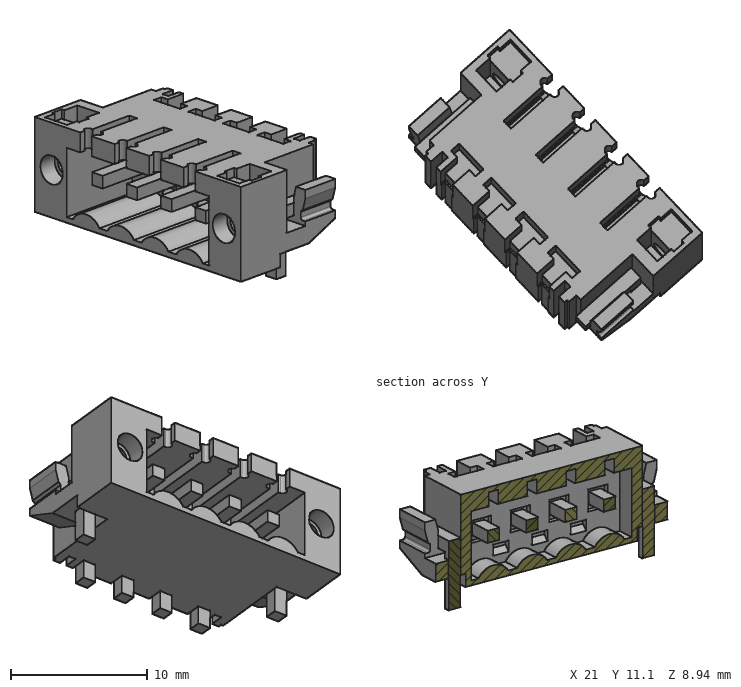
import cadquery as cq
import math


pitch = 3.5
contact_count = 4
contact_xs = [(i - (contact_count - 1) / 2) * pitch for i in range(contact_count)]
gap_xs = [(a + b) / 2 for a, b in zip(contact_xs, contact_xs[1:])]
anchor_x = (contact_count + 1) / 2 * pitch
sides = (-1, 1)

half_length = 10.48
depth = 11.05
height = 7.45
ear_depth = 4.88

pin_width = 1.07
pin_height = 1.0
pin_bottom = 3.02
pin_top = pin_bottom + pin_height
tail_length = 1.49
contact_front = 1.2
contact_back = 10.7
anchor_front = 5.0
anchor_back = 10.52

body_half_length = anchor_x - pin_width / 2

rear_shoulder_y = 10.04
rear_step_y = 10.77
rear_step_outer_x = 7.75
rear_step_inner_x = 7.56

cavity_half_width = 7.23
cavity_floor = 0.45
cavity_roof = 5.89
cavity_depth = 7.0
rib_width = 2.72
rib_height = 0.73
rib_radius = ((rib_width / 2) ** 2 + rib_height**2) / (2 * rib_height)

recess_size = 1.75
recess_depth = 0.42
recess_z = (pin_bottom + pin_top) / 2

window_width = 1.4
window_bottom = 1.17
window_slope_top = 1.6
window_top = 2.05
window_depth = 0.42

roof_slot_width = 0.8
roof_slot_end = 5.0
roof_slot_bridge_z = 7.02
mouth_width = 1.2
key_width = 1.74
key_height = 0.65
key_y = 0.8

t_bar_width = 2.65
t_bar_front = 8.59
t_bar_back = 9.39
t_stem_width = 1.32
t_stem_back = 10.55
t_floor = cavity_roof

end_slot_outer_x = 6.95
end_slot_inner_x = 6.37
end_slot_front = 9.9

bore_z = 3.75
bore_diameter = 2.26
screw_diameter = 1.6
nut_front = 2.51
nut_back = 3.9
nut_width = 2.2
nut_floor = bore_z - bore_diameter / 2
entry_floor = 6.72
entry_wide_width = 2.75
entry_wide_front = 1.5
entry_narrow_width = 2.26
entry_narrow_front = 0.46

undercut_front = 4.17
arm_bottom = 1.05
arm_top = 2.51
arm_slope_start = 7.2
arm_tip_bottom = 2.26
hook_front = 6.85
hook_top = 5.35
hook_top_inner_x = 9.51
hook_inner_x = anchor_x + pin_width / 2
hook_inner_slope_z = 4.46
hook_outer_slope_z = 4.7
hook_lip_x = 10.2
hook_lip_z = 3.69
groove_x = 10.0
groove_top = 3.5
groove_bottom = 2.87
groove_radius = 0.2


def block(x0, x1, y0, y1, z0, z1):
    """Box between two opposite corners, given in either order."""
    corner = (min(x0, x1), min(y0, y1), min(z0, z1))
    return cq.Workplane("XY").box(abs(x1 - x0), abs(y1 - y0), abs(z1 - z0), centered=False).translate(corner)


def centred_block(x, width, y0, y1, z0, z1):
    """Box centred on x."""
    return block(x - width / 2, x + width / 2, y0, y1, z0, z1)


def cylinder_along_y(x, z, diameter, y0, y1):
    """Round bar from y0 to y1."""
    return cq.Workplane("XZ", origin=(x, y0, z)).circle(diameter / 2).extrude(y0 - y1)


def bent_pin(x, front, back, leg_front):
    """Horizontal bar from front to back with a leg down through the board."""
    bar = centred_block(x, pin_width, front, back, pin_bottom, pin_top)
    leg = centred_block(x, pin_width, leg_front, leg_front + pin_height, -tail_length, pin_top)
    return bar.union(leg)


def contact(x):
    """Contact with its leg at the back end."""
    return bent_pin(x, contact_front, contact_back, contact_back - pin_height)


def anchor(x):
    """Solder anchor with its leg at the front end."""
    return bent_pin(x, anchor_front, anchor_back, anchor_front)


def housing_block():
    """Full-height body with the two ears and the stepped rear corners."""
    right_half = [
        (half_length, 0),
        (half_length, ear_depth),
        (body_half_length, ear_depth),
        (body_half_length, rear_shoulder_y),
        (rear_step_outer_x, rear_shoulder_y),
        (rear_step_outer_x, rear_step_y),
        (rear_step_inner_x, rear_step_y),
        (rear_step_inner_x, depth),
    ]
    left_half = [(-x, y) for x, y in reversed(right_half)]
    return cq.Workplane("XY").polyline(right_half + left_half).close().extrude(height)


def cavity():
    """Mating cavity whose floor carries one rounded rib below each contact."""
    space = block(-cavity_half_width, cavity_half_width, 0, cavity_depth, cavity_floor, cavity_roof)
    rib_axis_z = cavity_floor + rib_height - rib_radius
    for x in contact_xs:
        space = space.cut(cylinder_along_y(x, rib_axis_z, 2 * rib_radius, 0, cavity_depth))
    return space


def contact_recess(x):
    """Square recess around a contact in the back wall of the cavity."""
    half = recess_size / 2
    return centred_block(
        x, recess_size, cavity_depth, cavity_depth + recess_depth, recess_z - half, recess_z + half
    )


def window(x):
    """Recess in the back wall of the cavity, with a floor that rises to the back."""
    profile = [
        (cavity_depth, window_bottom),
        (cavity_depth + window_depth, window_slope_top),
        (cavity_depth + window_depth, window_top),
        (cavity_depth, window_top),
    ]
    left = x - window_width / 2
    return cq.Workplane("YZ", origin=(left, 0, 0)).polyline(profile).close().extrude(window_width)


def roof_slot(x):
    """Slot through the cavity roof: a mouth, a round-ended key and a long tail that runs under a bridge."""
    mouth = centred_block(x, mouth_width, 0, key_y, cavity_roof, height)
    key = (
        cq.Workplane("XY", origin=(x, key_y, cavity_roof))
        .slot2D(key_width, key_height)
        .extrude(height - cavity_roof)
    )
    tail = centred_block(x, roof_slot_width, key_y, roof_slot_end, cavity_roof, height)
    under_bridge = centred_block(
        x, roof_slot_width, roof_slot_end, cavity_depth, cavity_roof, roof_slot_bridge_z
    )
    return mouth.union(key).union(tail).union(under_bridge)


def t_slot(x):
    """T-shaped pocket in the top, opening into a stepped channel down the back above the contact."""
    bar = centred_block(x, t_bar_width, t_bar_front, t_bar_back, t_floor, height)
    stem = centred_block(x, t_stem_width, t_bar_back, t_stem_back, t_floor, height)
    wide_channel = centred_block(x, t_stem_width, t_stem_back, depth, pin_top, height)
    narrow_channel = centred_block(x, pin_width, t_stem_back, depth, 0, pin_top)
    return bar.union(stem).union(wide_channel).union(narrow_channel)


def end_slot(side):
    """Narrow full-height slot near one end of the back."""
    return block(side * end_slot_inner_x, side * end_slot_outer_x, end_slot_front, depth, 0, height)


def ear_fastening(x):
    """Screw bore from the front, meeting a nut pocket that is sunk from the top behind a shallow entry."""
    bore = cylinder_along_y(x, bore_z, bore_diameter, 0, entry_wide_front)
    screw_hole = cylinder_along_y(x, bore_z, screw_diameter, entry_wide_front, nut_front)
    nut_pocket = centred_block(x, nut_width, nut_front, nut_back, nut_floor, height)
    wide_entry = centred_block(x, entry_wide_width, entry_wide_front, nut_front, entry_floor, height)
    narrow_entry = centred_block(
        x, entry_narrow_width, entry_narrow_front, entry_wide_front, entry_floor, height
    )
    return bore.union(screw_hole).union(nut_pocket).union(wide_entry).union(narrow_entry)


def latch_undercut():
    """Clearance under the latch arm at the +X end, from the back of the ear to the body shoulder."""
    profile = [
        (undercut_front, 0),
        (undercut_front, arm_bottom),
        (arm_slope_start, arm_bottom),
        (rear_shoulder_y, arm_tip_bottom),
        (rear_shoulder_y, 0),
    ]
    return (
        cq.Workplane("YZ", origin=(rear_step_outer_x, 0, 0))
        .polyline(profile)
        .close()
        .extrude(half_length - rear_step_outer_x)
    )


def latch():
    """Latch at the +X end: an arm behind the ear with a grooved hook standing on it."""
    arm_profile = [
        (ear_depth, arm_bottom),
        (arm_slope_start, arm_bottom),
        (rear_shoulder_y, arm_tip_bottom),
        (rear_shoulder_y, arm_top),
        (ear_depth, arm_top),
    ]
    arm = (
        cq.Workplane("YZ", origin=(body_half_length, 0, 0))
        .polyline(arm_profile)
        .close()
        .extrude(half_length - body_half_length)
    )
    round_offset = groove_radius * (1 - math.sqrt(0.5))
    hook = (
        cq.Workplane("XZ", origin=(0, hook_front, 0))
        .moveTo(body_half_length, arm_top)
        .lineTo(half_length, arm_top)
        .lineTo(half_length, groove_bottom)
        .lineTo(groove_x + groove_radius, groove_bottom)
        .threePointArc(
            (groove_x + round_offset, groove_bottom + round_offset),
            (groove_x, groove_bottom + groove_radius),
        )
        .lineTo(groove_x, groove_top)
        .lineTo(hook_lip_x, hook_lip_z)
        .lineTo(half_length, hook_outer_slope_z)
        .lineTo(half_length, hook_top)
        .lineTo(hook_top_inner_x, hook_top)
        .lineTo(hook_inner_x, hook_inner_slope_z)
        .lineTo(hook_inner_x, pin_bottom)
        .lineTo(body_half_length, pin_bottom)
        .close()
        .extrude(hook_front - rear_shoulder_y)
    )
    return arm.union(hook)


contacts = [contact(x) for x in contact_xs]
anchors = [anchor(side * anchor_x) for side in sides]

housing = housing_block().union(latch()).union(latch().mirror("YZ"))
housing = housing.cut(latch_undercut()).cut(latch_undercut().mirror("YZ"))
housing = housing.cut(cavity())
for x in contact_xs:
    housing = housing.cut(contact_recess(x)).cut(roof_slot(x)).cut(t_slot(x))
for x in gap_xs:
    housing = housing.cut(window(x))
for side in sides:
    housing = housing.cut(end_slot(side)).cut(ear_fastening(side * anchor_x))

for pin in contacts + anchors:
    housing = housing.cut(pin)

pin_solids = [pin.solids().val() for pin in contacts + anchors]
result = cq.Compound.makeCompound([housing.solids().val(), *pin_solids])